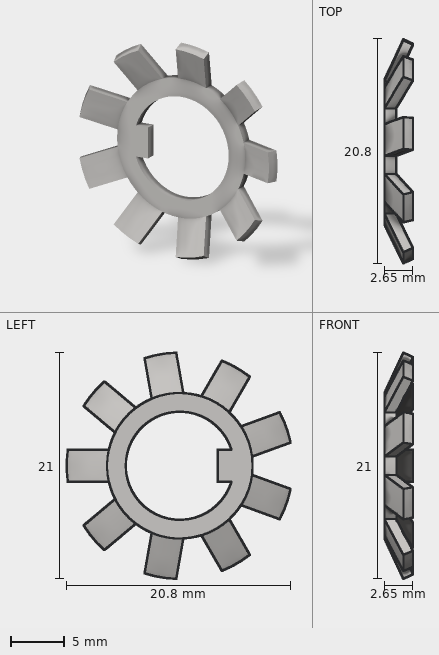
import cadquery as cq
import math

bore_radius = 5.0
ring_radius = 6.75
ring_thickness = 1.1

tooth_count = 9
tooth_width = 3.0
tip_radius = 10.5
bend_angle = math.radians(25)
tooth_thickness = ring_thickness * math.cos(bend_angle)

full_turn = 360

key_width = 3.0
key_tip_distance = 3.5

root_overlap = 1.0


def make_ring():
    """Flat annulus extruded along +X."""
    return (
        cq.Workplane("YZ")
        .circle(ring_radius)
        .circle(bore_radius)
        .extrude(ring_thickness)
    )


def make_key():
    """Rectangular key pointing from the ring towards the axis."""
    key_length = bore_radius + root_overlap - key_tip_distance
    key_centre = -(key_tip_distance + key_length / 2)
    return (
        cq.Workplane("YZ")
        .center(key_centre, 0)
        .rect(key_length, key_width)
        .extrude(ring_thickness)
    )


def make_tooth_cone():
    """Conical band that all teeth are cut from, revolved about the X axis."""
    tip_x = (tip_radius - ring_radius) * math.tan(bend_angle)
    back_tip_x = tip_x + tooth_thickness * math.cos(bend_angle)
    back_tip_radius = tip_radius - tooth_thickness * math.sin(bend_angle)
    root_radius = ring_radius - root_overlap
    profile = [
        (0, root_radius),
        (0, ring_radius),
        (tip_x, tip_radius),
        (back_tip_x, back_tip_radius),
        (ring_thickness, ring_radius),
        (ring_thickness, root_radius),
    ]
    return (
        cq.Workplane("XY")
        .polyline(profile)
        .close()
        .revolve(full_turn, (0, 0, 0), (1, 0, 0))
    )


def make_teeth():
    """Parallel-sided radial teeth, the first one along +Y."""
    cone = make_tooth_cone()
    strip_start = ring_radius - root_overlap
    strip_length = tip_radius + root_overlap - strip_start
    strip_depth = tip_radius
    strip = (
        cq.Workplane("YZ")
        .center(strip_start + strip_length / 2, 0)
        .rect(strip_length, tooth_width)
        .extrude(strip_depth)
    )
    tooth = cone.intersect(strip)
    pitch_angle = full_turn / tooth_count
    return [
        tooth.rotate((0, 0, 0), (1, 0, 0), index * pitch_angle)
        for index in range(tooth_count)
    ]


result = make_ring().union(make_key())
for tooth in make_teeth():
    result = result.union(tooth)